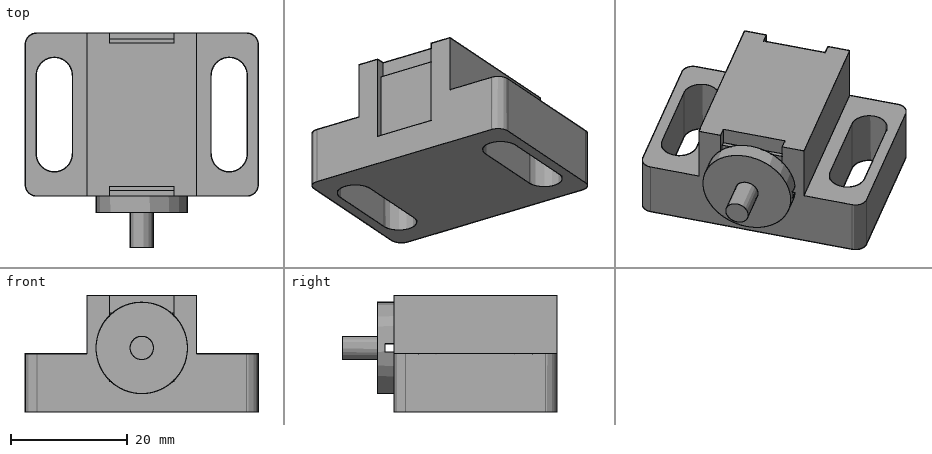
import cadquery as cq

base_length = 40.0
depth = 28.0
base_height = 10.0
corner_radius = 2.0
block_width = 18.8
total_height = 20.0

slot_width = 6.15
slot_length = 19.6
slot_offset = 15.0

recess_width = 11.0
recess_depth = 1.0
recess_floor = 5.2
notch_depth = 1.7
notch_floor = 17.0

axis_height = 11.0
disc_diameter = 15.7
disc_thickness = 2.8
shaft_diameter = 4.0
shaft_length = 6.0
groove_width = 1.4
groove_depth = 1.5

front_face = -depth / 2


def end_pocket(side, pocket_depth, floor):
    """Cutter of the recess width from an end face (side -1 or 1), from floor to the top."""
    return (
        cq.Workplane("XY")
        .box(recess_width, 2 * pocket_depth, total_height - floor, centered=(True, True, False))
        .translate((0, side * depth / 2, floor))
    )


def make_housing():
    base = (
        cq.Workplane("XY")
        .box(base_length, depth, base_height, centered=(True, True, False))
        .edges("|Z")
        .fillet(corner_radius)
    )
    block = cq.Workplane("XY").box(block_width, depth, total_height, centered=(True, True, False))
    slots = (
        cq.Workplane("XY")
        .pushPoints([(-slot_offset, 0), (slot_offset, 0)])
        .slot2D(slot_length, slot_width, 90)
        .extrude(base_height)
    )
    body = base.union(block).cut(slots)
    for side in (-1, 1):
        body = body.cut(end_pocket(side, recess_depth, recess_floor))
        body = body.cut(end_pocket(side, notch_depth, notch_floor))
    return body


def make_knob():
    mount = cq.Workplane("XZ", origin=(0, front_face, axis_height))
    disc = mount.circle(disc_diameter / 2).extrude(disc_thickness)
    shaft = mount.workplane(offset=disc_thickness).circle(shaft_diameter / 2).extrude(shaft_length)
    groove = mount.rect(disc_diameter, groove_width).extrude(groove_depth)
    return disc.union(shaft).cut(groove)


housing = make_housing()
knob = make_knob()

result = cq.Compound.makeCompound([housing.solids().val(), knob.solids().val()])